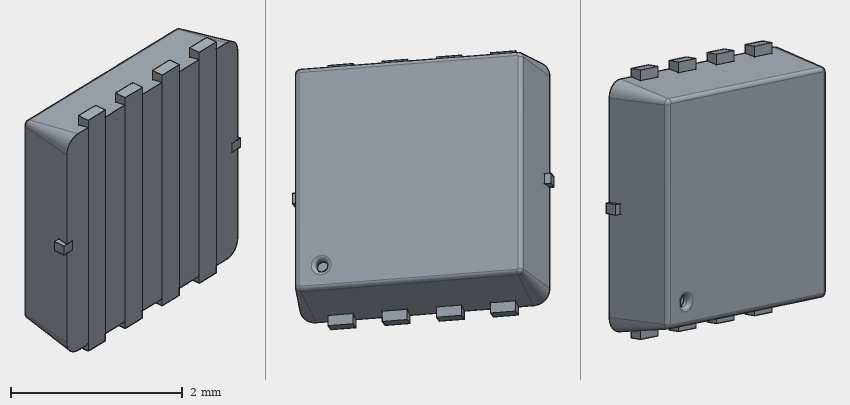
import cadquery as cq
import math

package_height = 0.8
lead_span = 3.2
tab_span = 3.1
mounting_x = package_height / 2
top_x = mounting_x - package_height

housing_side = 3.0
corner_radius = 0.2
draft_angle = 10.0
top_edge_fillet = 0.055

marker_y = 1.045
marker_z = -1.075
marker_diameter = 0.135
marker_depth = 0.1
marker_mouth_fillet = 0.05

metal_thickness = 0.15
lead_count = 4
lead_width = 0.3
lead_pitch = 0.65
tab_width = 0.125
tab_length = 0.15


def make_metal_bar(length_y, length_z, center_y):
    """Rectangular bar lying flush with the mounting face, centred on Z = 0."""
    bar = cq.Workplane("XY").box(metal_thickness, length_y, length_z)
    return bar.translate((mounting_x - metal_thickness / 2, center_y, 0))


def make_lead(index):
    """Straight lead strip whose two ends stick out of the housing along Z."""
    center_y = (index - (lead_count - 1) / 2) * lead_pitch
    return make_metal_bar(lead_width, lead_span, center_y)


def make_tab(side):
    """Short tie-bar stub on the +Y (side = 1) or -Y (side = -1) wall."""
    center_y = side * (tab_span - tab_length) / 2
    return make_metal_bar(tab_length, tab_width, center_y)


def make_tapered_block():
    """Rounded square that narrows towards the top face, with a rounded top edge."""
    top_inset = package_height * math.tan(math.radians(draft_angle))
    top_side = housing_side - 2 * top_inset
    top_corner_radius = corner_radius - top_inset
    top_outline = cq.Sketch().rect(top_side, top_side).vertices().fillet(top_corner_radius)
    block = (
        cq.Workplane("YZ", origin=(top_x, 0, 0))
        .placeSketch(top_outline)
        .extrude(package_height, taper=-draft_angle)
    )
    return block.faces("<X").edges().fillet(top_edge_fillet)


def make_marker_cutter():
    """Revolved cutter: a round hole whose mouth flares out in a convex fillet."""
    hole_radius = marker_diameter / 2
    mouth_radius = hole_radius + marker_mouth_fillet
    arc_inset = marker_mouth_fillet * (1 - math.sqrt(0.5))
    profile = (
        cq.Workplane("XY", origin=(top_x, marker_y, marker_z))
        .lineTo(0, mouth_radius)
        .threePointArc((arc_inset, hole_radius + arc_inset), (marker_mouth_fillet, hole_radius))
        .lineTo(marker_depth, hole_radius)
        .lineTo(marker_depth, 0)
        .close()
    )
    return profile.revolve(360, (0, 0, 0), (1, 0, 0))


leads = [make_lead(index) for index in range(lead_count)]
tabs = [make_tab(side) for side in (-1, 1)]

housing = make_tapered_block().cut(make_marker_cutter())
for metal_body in leads + tabs:
    housing = housing.cut(metal_body)

result = cq.Compound.makeCompound([housing.solids().val(), *[body.val() for body in leads + tabs]])